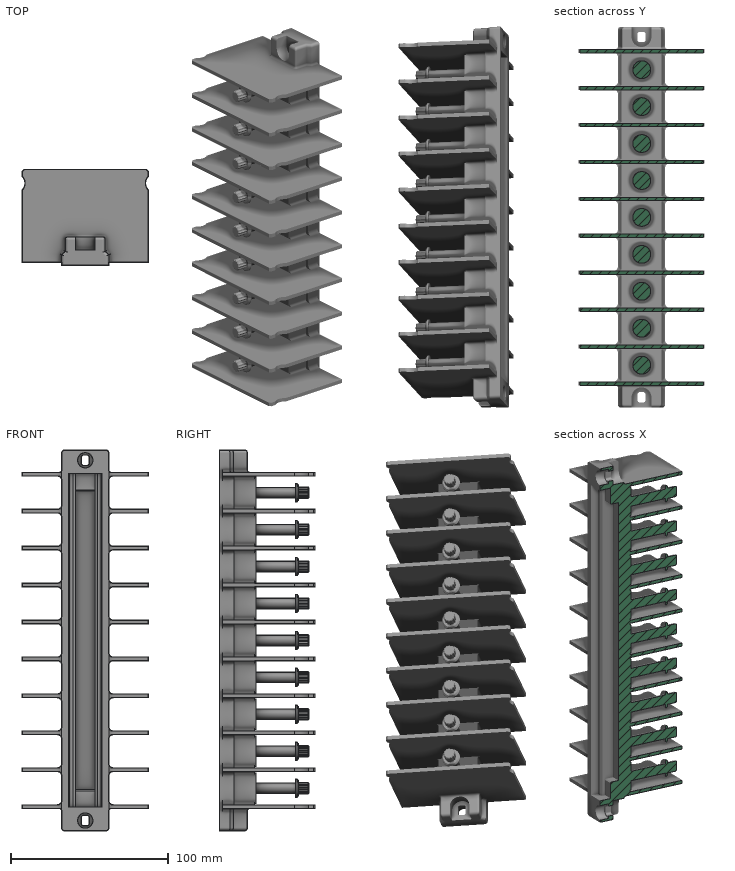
import cadquery as cq

LENGTH = 241.7
FRONT_HALF_WIDTH = 15.0
REAR_HALF_WIDTH = 12.5

FIN_COUNT = 10
FIN_PITCH = 23.5
FIN_THICKNESS = 2.5
FIN_HALF_WIDTH = 80.0 / 2
FIN_FRONT = 2.0
FIN_REAR = 61.0
FIN_CORNER = 1.2
NOTCH_REAR = 56.5
NOTCH_FRONT = 47.9
NOTCH_DEPTH = 1.7
BAY_FRONT_ROOT_RADIUS = 2.7
BAY_REAR_ROOT_RADIUS = 1.5
END_ROOT_RADIUS = 1.5

BAY_STEP = 9.5
BAY_REAR = 22.5
PAD_HEIGHT = 1.0
PAD_GAP = 0.7

END_STEP_FRONT = 6.8
END_STEP_REAR = 9.0
END_REAR = 18.0
END_CORNER_FILLET = 1.0
END_FILLET = 2.0

HOLE_INSET = 6.5
BORE_DIAMETER = 9.7
BORE_DEPTH = 6.0
SLOT_WIDTH = 5.0
SLOT_HEIGHT = 6.5
SLOT_CORNER = 1.5
NUT_SLOT_RADIUS = 6.3
NUT_SLOT_FRONT = 10.0

POCKET_INSET = 15.0
POCKET_HALF_WIDTH = 10.6
POCKET_STEP_DEPTH = 4.8
POCKET_WALL_LEAN = 0.5
CHANNEL_MOUTH_HALF_WIDTH = 7.7
CHANNEL_HALF_WIDTH = 6.0
CHANNEL_BEVEL_DEPTH = 1.0
CHANNEL_DEPTH = 13.5
STOP_LENGTH = 11.0
STOP_FRONT = 7.7
STOP_CHAMFER = 0.7

STUD_RADIUS = 3.5
WASHER_FRONT = 48.3
WASHER_REAR = 50.3
WASHER_RADIUS = 5.8
WASHER_REAR_RADIUS = 4.8
WASHER_RIM = 1.0
HEAD_REAR = 56.8
HEAD_RADIUS = 3.6
HEAD_CHAMFER = 0.5
HEAD_POINT_ANGLE = 360 / 12

HALF_LENGTH = LENGTH / 2
FIN_SPAN = FIN_PITCH * (FIN_COUNT - 1)
FIN_HEIGHTS = [FIN_PITCH * i - FIN_SPAN / 2 for i in range(FIN_COUNT)]
BAY_HEIGHTS = [z + FIN_PITCH / 2 for z in FIN_HEIGHTS[:-1]]
BAY_HEIGHT = FIN_PITCH - FIN_THICKNESS
POCKET_LENGTH = LENGTH - 2 * POCKET_INSET
ENDS = (-1, 1)
TOLERANCE = 0.02


def rail_profile(step_front, step_rear, rear):
    """Stepped cross-section of the rail: wide at the front, narrower at the rear."""
    points = [
        (-FRONT_HALF_WIDTH, 0),
        (FRONT_HALF_WIDTH, 0),
        (FRONT_HALF_WIDTH, step_front),
        (REAR_HALF_WIDTH, step_rear),
        (REAR_HALF_WIDTH, rear),
        (-REAR_HALF_WIDTH, rear),
        (-REAR_HALF_WIDTH, step_rear),
        (-FRONT_HALF_WIDTH, step_front),
    ]
    return cq.Workplane("XY").polyline(points).close()


def bay_section():
    section = rail_profile(BAY_STEP, BAY_STEP, BAY_REAR).extrude(FIN_SPAN)
    return section.translate((0, 0, -FIN_SPAN / 2))


def end_block():
    """Upper end block with a rounded outer end; the front edge stays sharp."""
    start = FIN_SPAN / 2
    block = rail_profile(END_STEP_FRONT, END_STEP_REAR, END_REAR).extrude(HALF_LENGTH - start)
    block = block.edges("|Z and >Y").fillet(END_CORNER_FILLET)
    block = block.faces(">Z").edges("not <Y").fillet(END_FILLET)
    return block.translate((0, 0, start))


def fin():
    """Flat barrier fin with clipped rear corners and a shallow round notch in each side edge."""
    rear_edge = FIN_HALF_WIDTH - FIN_CORNER
    notch_edge = FIN_HALF_WIDTH - NOTCH_DEPTH
    half = (
        cq.Workplane("XY")
        .moveTo(0, FIN_FRONT)
        .lineTo(FIN_HALF_WIDTH, FIN_FRONT)
        .lineTo(FIN_HALF_WIDTH, NOTCH_FRONT)
        .threePointArc((notch_edge, (NOTCH_FRONT + NOTCH_REAR) / 2), (FIN_HALF_WIDTH, NOTCH_REAR))
        .lineTo(FIN_HALF_WIDTH, FIN_REAR - FIN_CORNER)
        .lineTo(rear_edge, FIN_REAR)
        .lineTo(0, FIN_REAR)
        .close()
        .extrude(FIN_THICKNESS / 2, both=True)
    )
    return half.union(half.mirror("YZ"))


def fillet_bay_roots(body, y_min, y_max, radius):
    """Round the side roots of the fins in the bays, along the stage between y_min and y_max."""
    roots = []
    for edge in body.edges("|Y").vals():
        centre = edge.Center()
        on_rail_side = REAR_HALF_WIDTH - TOLERANCE < abs(centre.x) < FRONT_HALF_WIDTH + TOLERANCE
        in_bays = abs(centre.z) < FIN_SPAN / 2
        if on_rail_side and in_bays and y_min < centre.y < y_max:
            roots.append(edge)
    return body.newObject(roots).fillet(radius)


def fillet_end_roots(body, side):
    """Round the root of an end block all round where it meets the outer fin."""
    z = side * (FIN_SPAN + FIN_THICKNESS) / 2
    reach = FRONT_HALF_WIDTH + TOLERANCE
    near_root = cq.selectors.BoxSelector(
        (-reach, FIN_FRONT, z - TOLERANCE),
        (reach, END_REAR + TOLERANCE, z + TOLERANCE),
    )
    return body.edges(near_root).edges("#Z").fillet(END_ROOT_RADIUS)


def front_prism(width, depth, start=0.0, narrowing=0.0):
    """Full-length cutter sunk rearward from Y = start; each long wall leans in by the narrowing."""
    near = cq.Workplane("XZ", origin=(0, start, 0)).rect(width, POCKET_LENGTH)
    return near.workplane(offset=-depth).rect(width - 2 * narrowing, POCKET_LENGTH).loft(combine=True)


def channel_cutter():
    """Stepped channel: leaning pocket walls, a bevelled lip, then the straight inner channel."""
    pocket = front_prism(2 * POCKET_HALF_WIDTH, POCKET_STEP_DEPTH, narrowing=POCKET_WALL_LEAN)
    bevel = front_prism(
        2 * CHANNEL_MOUTH_HALF_WIDTH,
        CHANNEL_BEVEL_DEPTH,
        start=POCKET_STEP_DEPTH,
        narrowing=CHANNEL_MOUTH_HALF_WIDTH - CHANNEL_HALF_WIDTH,
    )
    channel = front_prism(2 * CHANNEL_HALF_WIDTH, CHANNEL_DEPTH - POCKET_STEP_DEPTH, start=POCKET_STEP_DEPTH)
    return pocket.union(bevel).union(channel)


def channel_stop():
    """Block closing the upper end of the channel floor."""
    top = HALF_LENGTH - POCKET_INSET
    depth = CHANNEL_DEPTH - STOP_FRONT
    block = cq.Workplane("XY").box(2 * CHANNEL_HALF_WIDTH, depth, STOP_LENGTH, centered=(True, False, False))
    block = block.edges("<Y and <Z").chamfer(STOP_CHAMFER)
    return block.translate((0, STOP_FRONT, top - STOP_LENGTH))


def mounting_cutter():
    """Bore from the front, oblong through hole, and a rear nut slot open at the upper end."""
    z = HALF_LENGTH - HOLE_INSET
    front = cq.Workplane("XZ", origin=(0, 0, z))
    bore = front.circle(BORE_DIAMETER / 2).extrude(-BORE_DEPTH)
    oblong = front.rect(SLOT_WIDTH, SLOT_HEIGHT).extrude(-END_REAR).edges("|Y").fillet(SLOT_CORNER)
    nut_depth = END_REAR - NUT_SLOT_FRONT
    rear = cq.Workplane("XZ", origin=(0, NUT_SLOT_FRONT, z))
    nut_round = rear.circle(NUT_SLOT_RADIUS).extrude(-nut_depth)
    nut_open = rear.center(0, HOLE_INSET / 2).rect(2 * NUT_SLOT_RADIUS, HOLE_INSET).extrude(-nut_depth)
    return bore.union(oblong).union(nut_round).union(nut_open)


def hexagon(turn):
    """Chamfered hexagonal prism on the rear of the washer, turned about its axis in degrees."""
    return (
        cq.Workplane("XZ", origin=(0, WASHER_REAR, 0))
        .transformed(rotate=(0, 0, turn))
        .polygon(6, 2 * HEAD_RADIUS)
        .extrude(WASHER_REAR - HEAD_REAR)
        .faces(">Y")
        .chamfer(HEAD_CHAMFER)
    )


def stud():
    """Terminal stud with a dished washer and a twelve-point head made of two hexagons, pointing rearward."""
    half_outline = [
        (0, BAY_REAR),
        (STUD_RADIUS, BAY_REAR),
        (STUD_RADIUS, WASHER_FRONT),
        (WASHER_RADIUS, WASHER_FRONT),
        (WASHER_RADIUS, WASHER_FRONT + WASHER_RIM),
        (WASHER_REAR_RADIUS, WASHER_REAR),
        (0, WASHER_REAR),
    ]
    shank = cq.Workplane("XY").polyline(half_outline).close().revolve(360, (0, 0, 0), (0, 1, 0))
    return shank.union(hexagon(0)).union(hexagon(HEAD_POINT_ANGLE))


def rear_pad():
    height = BAY_HEIGHT - 2 * PAD_GAP
    pad = cq.Workplane("XY").box(2 * REAR_HALF_WIDTH, PAD_HEIGHT, height, centered=(True, False, True))
    return pad.translate((0, BAY_REAR, 0))


upper_block = end_block()
result = bay_section().union(upper_block).union(upper_block.mirror("XY"))
barrier = fin()
for fin_z in FIN_HEIGHTS:
    result = result.union(barrier.translate((0, 0, fin_z)))
result = fillet_bay_roots(result, 0, BAY_STEP, BAY_FRONT_ROOT_RADIUS)
result = fillet_bay_roots(result, BAY_STEP, BAY_REAR, BAY_REAR_ROOT_RADIUS)
for end in ENDS:
    result = fillet_end_roots(result, end)

upper_stop = channel_stop()
result = result.cut(channel_cutter())
result = result.union(upper_stop).union(upper_stop.mirror("XY"))

upper_mounting = mounting_cutter()
result = result.cut(upper_mounting).cut(upper_mounting.mirror("XY"))

bay_fitting = rear_pad().union(stud())
for bay_z in BAY_HEIGHTS:
    result = result.union(bay_fitting.translate((0, 0, bay_z)))